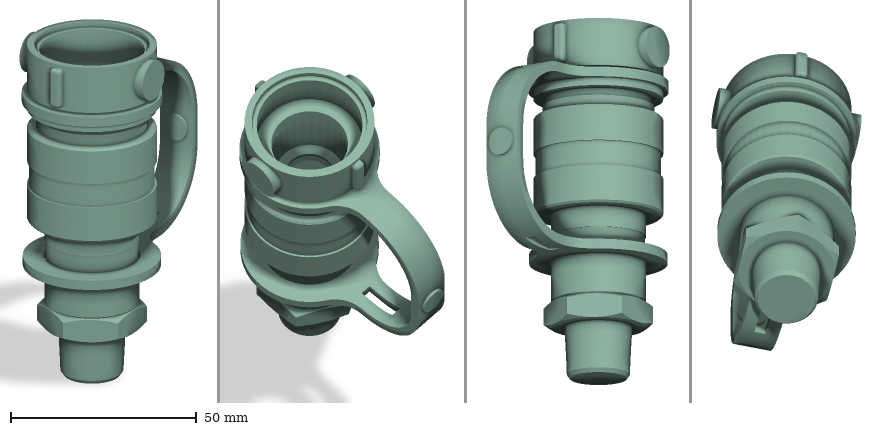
import cadquery as cq
import math

top_z = 95.7
cap_bottom_z = 82.7
port_face_z = 84.7
strap_top_z = 81.9
flange_bottom_z = 77.1
port_shoulder_z = 75.0
collar_top_z = 72.1
band_top_z = 62.0
band_bottom_z = 55.1
collar_bottom_z = 44.9
groove_top_z = 39.1
strap_bottom_z = 31.7
hex_top_z = 20.9
hex_bottom_z = 14.1
joint_z = (band_top_z + band_bottom_z) / 2

outer_radius = 17.5
neck_radius = 14.3
rebate_radius = 15.6
rebate_depth = 1.5
lug_z = (top_z + cap_bottom_z) / 2
button_radius = 5.55
button_reach = 19.5
rib_width = 3.35
rib_height = 2 * button_radius
rib_reach = 19.4
rib_fillet = 1.1

strap_thickness = 2.7
strap_width = 10.2
upper_ring_radius = 18.95
lower_ring_radius = 18.7
lower_ring_hole_radius = 13.1
ring_blend_radius = 10.05
bend_start_y = 25.4
bend_radius = 20.5
disc_radius = 3.7
disc_height = 0.9
slot_width = 3.1
slot_start_y = 21.1
slot_end_y = 32.5

shoulder_radius = 15.1
port_mouth_radius = 10.3
port_end_radius = 9.4
port_depth = 15.3
throat_radius = 6.8
funnel_depth = 0.6
throat_depth = 1.0
seat_depth = 0.9
poppet_radius = 5.9
poppet_top_z = port_face_z - port_depth - funnel_depth - throat_depth - seat_depth

band_radius = 16.9
collar_chamfer = 0.6

barrel_radius = 12.8
groove_radius = 12.5
barrel_chamfer = 0.4
hex_across_flats = 25.6
hex_chamfer_angle = 28.0
hex_top_radius = barrel_radius - barrel_chamfer
stub_radius = 9.1
stub_tip_radius = 8.5
stub_taper_top_z = 12.6
stub_chamfer_height = 1.15
stub_chamfer = 0.81


def revolve(points):
    """Turn a closed (radius, height) outline about the Z axis."""
    return cq.Workplane("XZ").polyline(points).close().revolve(360, (0, 0, 0), (0, 1, 0))


def cylinder(radius, bottom, top):
    return cq.Workplane("XY").workplane(offset=bottom).circle(radius).extrude(top - bottom)


def make_cap():
    cap = cylinder(outer_radius, cap_bottom_z, top_z)

    cap = cap.union(
        cq.Workplane("YZ")
        .center(0, lug_z)
        .circle(button_radius)
        .extrude(button_reach, both=True)
    )

    ribs = (
        cq.Workplane("XY")
        .box(rib_width, 2 * rib_reach, rib_height)
        .edges()
        .fillet(rib_fillet)
        .translate((0, 0, lug_z))
    )
    cap = cap.union(ribs)

    cap = cap.cut(cylinder(neck_radius, cap_bottom_z, top_z))
    return cap.cut(cylinder(rebate_radius, top_z - rebate_depth, top_z))


def make_strap_ring(ring_radius, hole_radius, bottom):
    """Ring whose outline flows through tangent arcs into a straight tail on the +Y side."""
    half_width = strap_width / 2
    blend_x = half_width + ring_blend_radius
    centre_distance = ring_radius + ring_blend_radius
    blend_y = math.sqrt(centre_distance**2 - blend_x**2)
    tangent_x = blend_x * ring_radius / centre_distance
    tangent_y = blend_y * ring_radius / centre_distance

    tangent_angle = math.atan2(blend_y, blend_x)
    mid_x = blend_x - ring_blend_radius * math.cos(tangent_angle / 2)
    mid_y = blend_y - ring_blend_radius * math.sin(tangent_angle / 2)

    ring = (
        cq.Workplane("XY")
        .workplane(offset=bottom)
        .moveTo(half_width, bend_start_y)
        .lineTo(half_width, blend_y)
        .threePointArc((mid_x, mid_y), (tangent_x, tangent_y))
        .threePointArc((0, -ring_radius), (-tangent_x, tangent_y))
        .threePointArc((-mid_x, mid_y), (-half_width, blend_y))
        .lineTo(-half_width, bend_start_y)
        .close()
        .extrude(strap_thickness)
    )
    return ring.cut(cylinder(hole_radius, bottom, bottom + strap_thickness))


def make_strap():
    strap_height = strap_top_z - strap_bottom_z
    mid_z = (strap_top_z + strap_bottom_z) / 2
    outer_y = bend_start_y + bend_radius

    def bend_profile(radius, height):
        return (
            cq.Workplane("XY")
            .box(strap_width, 2 * radius, height)
            .edges("|X and >Y")
            .fillet(radius)
            .translate((0, bend_start_y, mid_z))
        )

    band = bend_profile(bend_radius, strap_height)
    band = band.cut(bend_profile(bend_radius - strap_thickness, strap_height - 2 * strap_thickness))
    band = band.intersect(
        cq.Workplane("XY")
        .box(strap_width, bend_radius, strap_height)
        .translate((0, bend_start_y + bend_radius / 2, mid_z))
    )

    disc_length = strap_thickness + 2 * disc_height
    disc = (
        cq.Workplane("XZ", origin=(0, outer_y + disc_height, mid_z))
        .circle(disc_radius)
        .extrude(disc_length)
    )

    upper_ring = make_strap_ring(upper_ring_radius, neck_radius, strap_top_z - strap_thickness)
    lower_ring = make_strap_ring(lower_ring_radius, lower_ring_hole_radius, strap_bottom_z)
    strap = upper_ring.union(lower_ring).union(band).union(disc)

    slot_length = slot_end_y - slot_start_y
    slot = (
        cq.Workplane("XY")
        .box(slot_width, slot_length, mid_z - strap_bottom_z, centered=(True, False, False))
        .translate((0, slot_start_y, strap_bottom_z))
    )
    return strap.cut(slot)


def make_port_body():
    """Fitting with a flange, a shoulder and a tapered port narrowing to the poppet seat."""
    funnel_top_z = port_face_z - port_depth
    throat_top_z = funnel_top_z - funnel_depth
    seat_top_z = throat_top_z - throat_depth
    return revolve([
        (port_mouth_radius, port_face_z),
        (neck_radius, port_face_z),
        (neck_radius, strap_top_z - strap_thickness),
        (outer_radius, strap_top_z - strap_thickness),
        (outer_radius, flange_bottom_z),
        (neck_radius, flange_bottom_z),
        (neck_radius, port_shoulder_z),
        (shoulder_radius, port_shoulder_z),
        (shoulder_radius, joint_z),
        (poppet_radius, joint_z),
        (poppet_radius, poppet_top_z),
        (throat_radius, seat_top_z),
        (throat_radius, throat_top_z),
        (port_end_radius, funnel_top_z),
    ])


def make_poppet():
    return cylinder(poppet_radius, joint_z, poppet_top_z)


def make_collar():
    """Grip sleeve with a shallow waist, bored to hold the port body and the barrel."""
    return revolve([
        (shoulder_radius, collar_top_z),
        (outer_radius - collar_chamfer, collar_top_z),
        (outer_radius, collar_top_z - collar_chamfer),
        (outer_radius, band_top_z),
        (band_radius, band_top_z),
        (band_radius, band_bottom_z),
        (outer_radius, band_bottom_z),
        (outer_radius, collar_bottom_z + collar_chamfer),
        (outer_radius - collar_chamfer, collar_bottom_z),
        (barrel_radius, collar_bottom_z),
        (barrel_radius, joint_z),
        (shoulder_radius, joint_z),
    ])


def make_barrel():
    """Solid barrel with a wide groove inside the lower strap ring."""
    return revolve([
        (0, hex_top_z),
        (barrel_radius - barrel_chamfer, hex_top_z),
        (barrel_radius, hex_top_z + barrel_chamfer),
        (barrel_radius, strap_bottom_z),
        (groove_radius, strap_bottom_z),
        (groove_radius, groove_top_z),
        (barrel_radius, groove_top_z),
        (barrel_radius, joint_z),
        (0, joint_z),
    ])


def make_adaptor():
    corner_radius = hex_across_flats / math.sqrt(3)
    flat_radius = hex_across_flats / 2
    chamfer_slope = math.tan(math.radians(hex_chamfer_angle))
    bottom_drop = (corner_radius - flat_radius) * chamfer_slope
    top_drop = (corner_radius - hex_top_radius) * chamfer_slope
    hexagon = (
        cq.Workplane("XY")
        .workplane(offset=hex_bottom_z)
        .transformed(rotate=(0, 0, 90))
        .polygon(6, 2 * corner_radius)
        .extrude(hex_top_z - hex_bottom_z)
    )
    hexagon = hexagon.intersect(revolve([
        (0, hex_bottom_z),
        (flat_radius, hex_bottom_z),
        (corner_radius, hex_bottom_z + bottom_drop),
        (corner_radius, hex_top_z - top_drop),
        (hex_top_radius, hex_top_z),
        (0, hex_top_z),
    ]))

    stub = revolve([
        (0, 0),
        (stub_tip_radius - stub_chamfer, 0),
        (stub_tip_radius, stub_chamfer_height),
        (stub_radius, stub_taper_top_z),
        (stub_radius, hex_bottom_z),
        (0, hex_bottom_z),
    ])
    return hexagon.union(stub)


cap = make_cap()
strap = make_strap()
port_body = make_port_body()
poppet = make_poppet()
collar = make_collar()
barrel = make_barrel()
adaptor = make_adaptor()

result = cq.Compound.makeCompound([
    cap.val(),
    strap.val(),
    port_body.val(),
    poppet.val(),
    collar.val(),
    barrel.val(),
    adaptor.val(),
])